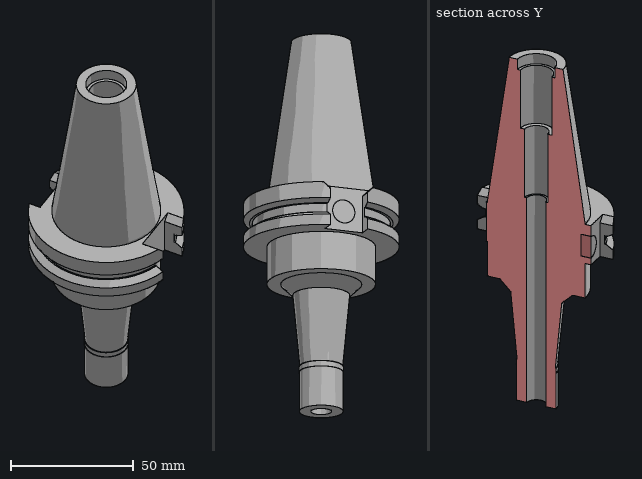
import cadquery as cq

TOTAL_HEIGHT = 157.2
TAPER_BASE_Z = 89.0
FLANGE_TOP_Z = 88.2
GROOVE_TOP_Z = 81.4
GROOVE_FLOOR_TOP_Z = 80.0
GROOVE_FLOOR_BOTTOM_Z = 76.2
GROOVE_BOTTOM_Z = 74.3
FLANGE_BOTTOM_Z = 70.0
HUB_BOTTOM_Z = 54.0
NECK_TOP_Z = 49.3
NECK_BOTTOM_Z = 19.3
COLLAR_TOP_Z = 19.0
COLLAR_BOTTOM_Z = 16.7

TAPER_TOP_RADIUS = 12.3
HUB_RADIUS = 22.2
FLANGE_RADIUS = 31.7
GROOVE_RADIUS = 28.1
GROOVE_LOWER_LEDGE_RADIUS = 28.8
GROOVE_UPPER_LEDGE_RADIUS = 29.2
SHOULDER_RADIUS = 16.5
NECK_TOP_RADIUS = 11.6
NECK_BOTTOM_RADIUS = 8.8
NOSE_RADIUS = 9.0
COLLAR_RADIUS = 9.1

COUNTERBORE_RADIUS = 8.3
COUNTERBORE_DEPTH = 4.7
THREAD_RADIUS = 7.0
THREAD_DEPTH = 31.5
PASSAGE_RADIUS = 5.2
PASSAGE_DEPTH = 62.9
THROUGH_RADIUS = 4.2

SLOT_WIDTH = 16.3
SLOT_CHAMFER = 2.7
LEFT_FLOOR_X = -24.8
RIGHT_FLOOR_X = 22.6

PLUG_RADIUS = 4.9
PLUG_DEPTH = 4.5
PLUG_Z = 78.1


def revolved_blank():
    """Taper, grooved flange, hub and nose as one turned shape."""
    profile = [
        (0, 0),
        (NOSE_RADIUS, 0),
        (NOSE_RADIUS, COLLAR_BOTTOM_Z),
        (COLLAR_RADIUS, COLLAR_BOTTOM_Z),
        (COLLAR_RADIUS, COLLAR_TOP_Z),
        (NECK_BOTTOM_RADIUS, COLLAR_TOP_Z),
        (NECK_BOTTOM_RADIUS, NECK_BOTTOM_Z),
        (NECK_TOP_RADIUS, NECK_TOP_Z),
        (SHOULDER_RADIUS, HUB_BOTTOM_Z),
        (HUB_RADIUS, HUB_BOTTOM_Z),
        (HUB_RADIUS, FLANGE_BOTTOM_Z),
        (FLANGE_RADIUS, FLANGE_BOTTOM_Z),
        (FLANGE_RADIUS, GROOVE_BOTTOM_Z),
        (GROOVE_LOWER_LEDGE_RADIUS, GROOVE_FLOOR_BOTTOM_Z),
        (GROOVE_RADIUS, GROOVE_FLOOR_BOTTOM_Z),
        (GROOVE_RADIUS, GROOVE_FLOOR_TOP_Z),
        (GROOVE_UPPER_LEDGE_RADIUS, GROOVE_FLOOR_TOP_Z),
        (FLANGE_RADIUS, GROOVE_TOP_Z),
        (FLANGE_RADIUS, FLANGE_TOP_Z),
        (HUB_RADIUS, FLANGE_TOP_Z),
        (HUB_RADIUS, TAPER_BASE_Z),
        (TAPER_TOP_RADIUS, TOTAL_HEIGHT),
        (0, TOTAL_HEIGHT),
    ]
    return cq.Workplane("XZ").polyline(profile).close().revolve(360, (0, 0, 0), (0, 1, 0))


def stepped_bore():
    """Coaxial cylinders that open the body from end to end."""
    steps = [
        (COUNTERBORE_RADIUS, COUNTERBORE_DEPTH),
        (THREAD_RADIUS, THREAD_DEPTH),
        (PASSAGE_RADIUS, PASSAGE_DEPTH),
    ]
    bore = cq.Workplane("XY").circle(THROUGH_RADIUS).extrude(TOTAL_HEIGHT)
    for radius, depth in steps:
        step = cq.Workplane("XY").workplane(offset=TOTAL_HEIGHT).circle(radius).extrude(-depth)
        bore = bore.union(step)
    return bore


def drive_slot(floor_x):
    """Slot through the flange height, outward from floor_x, with chamfered upper edges."""
    half_width = SLOT_WIDTH / 2
    half_mouth = half_width + SLOT_CHAMFER
    chamfer_z = FLANGE_TOP_Z - SLOT_CHAMFER
    section = [
        (-half_width, FLANGE_BOTTOM_Z),
        (half_width, FLANGE_BOTTOM_Z),
        (half_width, chamfer_z),
        (half_mouth, FLANGE_TOP_Z),
        (-half_mouth, FLANGE_TOP_Z),
        (-half_width, chamfer_z),
    ]
    outward = FLANGE_RADIUS if floor_x > 0 else -FLANGE_RADIUS
    return cq.Workplane("YZ").workplane(offset=floor_x).polyline(section).close().extrude(outward)


def make_plug():
    """Short cylinder reaching from the left slot floor toward the axis."""
    return (
        cq.Workplane("YZ")
        .workplane(offset=LEFT_FLOOR_X)
        .center(0, PLUG_Z)
        .circle(PLUG_RADIUS)
        .extrude(PLUG_DEPTH)
    )


def make_holder(plug):
    """Tool holder with its bore, drive slots and a pocket matching the plug."""
    holder = revolved_blank().cut(stepped_bore())
    for floor_x in (LEFT_FLOOR_X, RIGHT_FLOOR_X):
        holder = holder.cut(drive_slot(floor_x))
    return holder.cut(plug)


plug = make_plug()
holder = make_holder(plug)

result = cq.Compound.makeCompound([holder.val(), plug.val()])